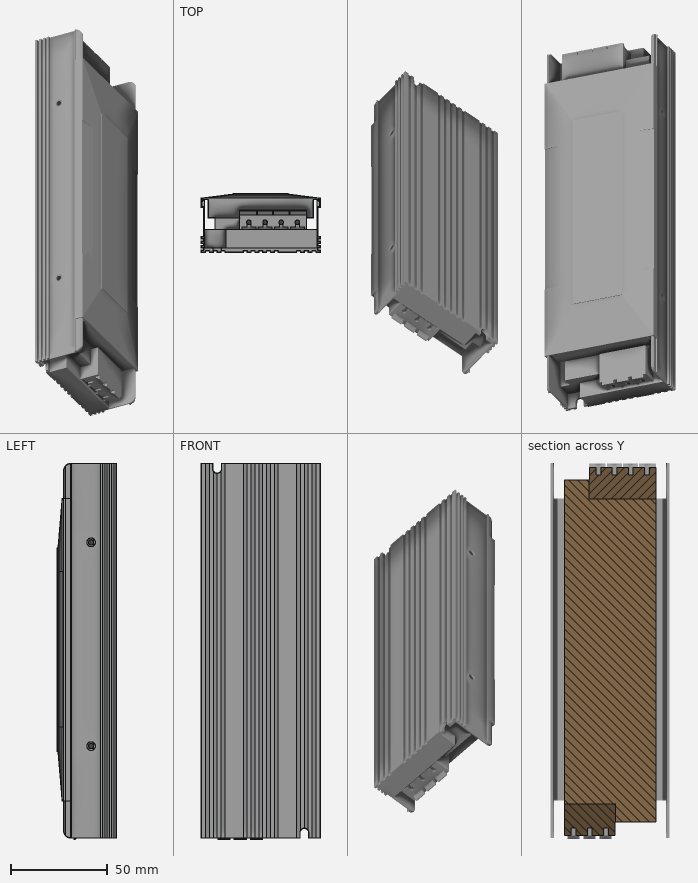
import cadquery as cq
length = 193.5
wall_half_width = 29.5
fin_half_width = 30.76
wall = 0.5
floor_top = 2.1
inner_half_width = wall_half_width - wall

fin_height = 1.2
side_fin_count = 4
side_fin_pitch = 2 * fin_height

groove_width = 2.0
groove_depth = 0.8
middle_group_reach = 8.0
groove_pitch = middle_group_reach / 2
outer_group_x = 23.5
groove_centres = [i * groove_pitch for i in range(-2, 3)] + [
    side * outer_group_x + i * groove_pitch for side in (-1, 1) for i in (-1, 0, 1)
]

lip_bottom = 23.1
lip_top = 23.7
rim_top = 27.2
rim_half_width = 30.3
rim_bevel = 1.0
rim_corner_radius = 3.9

slot_x = 22.5
slot_width = 4.5
slot_depth = 5.0

side_hole_y = 13.0
side_hole_zs = (47.5, 152.8)
side_hole_diameter = 2.7
side_sink_diameter = 4.5
side_sink_depth = 0.4

cover_start = 19.2
cover_end = 175.3
cover_eave = 28.0
cover_top = 30.5
panel_height = 0.4
roof_top = cover_top - panel_height
roof_half_width = 14.0
roof_slope_length = 25.5
relief_start = 57.5
relief_end = 137.6
relief_top = 29.1
relief_depth = 0.4
hood_half_width = 27.2
hood_bottom = 17.9

base_top = 11.8
corner_notch_x = 17.9
end_inset = 8.3
core_half_width = 23.7

pole_pitch = 8.3
terminal_margin = 1.2
terminal_length = 16.3
terminal_top = 22.0
lever_foot = 19.5
lever_land = 0.5
lever_height = 1.7
wire_hole_y = 15.5
wire_hole_diameter = 2.3
wire_hole_depth = 3.9
key_width = 2.0
foot_width = 7.2
foot_height = 1.4
foot_depth = 1.0


def box(x_range, y_range, z_range):
    """Box between pairs of X, Y and Z limits."""
    size = [high - low for low, high in (x_range, y_range, z_range)]
    corner = (x_range[0], y_range[0], z_range[0])
    return cq.Workplane("XY").box(*size, centered=False).translate(corner)


def centred_box(half_width, y_range, z_range):
    """Box symmetric about X = 0."""
    return box((-half_width, half_width), y_range, z_range)


def make_rim(side):
    """Bevelled rim along the top of one wall, rounded at both ends."""
    inner = side * inner_half_width
    outer = side * rim_half_width
    section = [
        (inner, lip_bottom),
        (outer, lip_bottom),
        (outer, rim_top - rim_bevel),
        (outer - side * rim_bevel, rim_top),
        (inner, rim_top),
    ]
    rim = cq.Workplane("XY").polyline(section).close().extrude(length)
    rounded = (
        cq.Workplane("YZ")
        .rect(2 * rim_top, length)
        .extrude(fin_half_width, both=True)
        .edges("|X and >Y")
        .fillet(rim_corner_radius)
        .translate((0, 0, length / 2))
    )
    return rim.intersect(rounded)


def make_mounting_slot(x, end_z, inward):
    """Cutter for a round-ended slot open at one end of the housing floor."""
    radius = slot_width / 2
    centre_z = end_z + inward * (slot_depth - radius)
    z_range = sorted((end_z, centre_z))
    straight = box((x - radius, x + radius), (0, floor_top), z_range)
    round_end = (
        cq.Workplane("XZ").center(x, centre_z).circle(radius).extrude(-floor_top)
    )
    return straight.union(round_end)


def make_side_hole(side, z):
    """Cutter for a countersunk hole through one side wall."""
    plane = cq.Plane(
        origin=(side * wall_half_width, side_hole_y, z), xDir=(0, 1, 0), normal=(-side, 0, 0)
    )
    hole = cq.Workplane(plane).circle(side_hole_diameter / 2).extrude(wall)
    sink = (
        cq.Workplane(plane)
        .circle(side_sink_diameter / 2)
        .workplane(offset=side_sink_depth)
        .circle(side_hole_diameter / 2)
        .loft()
    )
    return hole.union(sink)


def make_housing():
    full_length = (0, length)
    channel = centred_box(wall_half_width, (0, lip_bottom), full_length)
    for i in range(side_fin_count):
        fin_bottom = i * side_fin_pitch
        fin_range = (fin_bottom, fin_bottom + fin_height)
        channel = channel.union(centred_box(fin_half_width, fin_range, full_length))
    channel = channel.union(centred_box(fin_half_width, (lip_bottom, lip_top), full_length))
    channel = channel.cut(centred_box(inner_half_width, (floor_top, lip_top), full_length))
    for x in groove_centres:
        groove_x = (x - groove_width / 2, x + groove_width / 2)
        channel = channel.cut(box(groove_x, (0, groove_depth), full_length))
    for side in (-1, 1):
        channel = channel.union(make_rim(side))
        for z in side_hole_zs:
            channel = channel.cut(make_side_hole(side, z))
    channel = channel.cut(make_mounting_slot(-slot_x, length, -1))
    return channel.cut(make_mounting_slot(slot_x, 0, 1))


def make_eave_relief(side):
    """Cutter that steepens the middle stretch of one side slope."""
    slope_run = fin_half_width - roof_half_width
    top_fraction = (relief_top - cover_eave) / (roof_top - cover_eave)
    top_x = fin_half_width - top_fraction * slope_run
    section = [
        (side * top_x, relief_top),
        (side * fin_half_width, cover_eave - relief_depth),
        (side * fin_half_width, relief_top),
    ]
    wedge = cq.Workplane("XY").polyline(section).close().extrude(relief_end - relief_start)
    return wedge.translate((0, 0, relief_start))


def make_cover():
    z_range = (cover_start, cover_end)
    cover_length = cover_end - cover_start
    eave_plane = cq.Plane(
        origin=(0, cover_eave, (cover_start + cover_end) / 2), xDir=(1, 0, 0), normal=(0, 1, 0)
    )
    roof = (
        cq.Workplane(eave_plane)
        .rect(2 * fin_half_width, cover_length)
        .workplane(offset=roof_top - cover_eave)
        .rect(2 * roof_half_width, cover_length - 2 * roof_slope_length)
        .loft(ruled=True)
    )
    panel_z = (cover_start + roof_slope_length, cover_end - roof_slope_length)
    panel = centred_box(roof_half_width, (roof_top, cover_top), panel_z)
    skirt = centred_box(fin_half_width, (lip_top, cover_eave), z_range)
    skirt = skirt.cut(centred_box(rim_half_width, (lip_top, rim_top), z_range))
    hood = centred_box(hood_half_width, (hood_bottom, cover_eave), z_range)
    cover = roof.union(panel).union(skirt).union(hood)
    for side in (-1, 1):
        cover = cover.cut(make_eave_relief(side))
    return cover


def make_base():
    """Block on the housing floor, notched over the mounting slots."""
    y_range = (floor_top, base_top)
    base = centred_box(inner_half_width, y_range, (0, length))
    far_notch = box(
        (-inner_half_width, -corner_notch_x), y_range, (length - end_inset, length)
    )
    near_notch = box((corner_notch_x, inner_half_width), y_range, (0, end_inset))
    return base.cut(far_notch).cut(near_notch)


def terminal_width(poles):
    return poles * pole_pitch + terminal_margin


def make_terminal(poles, lever_gap, lever_span):
    """Terminal strip facing +Z, centred on X = 0, with the wire face at Z = 0."""
    half_width = terminal_width(poles) / 2
    body = centred_box(half_width, (base_top, terminal_top), (-terminal_length, 0))

    lever_section = [
        (lever_foot, 0),
        (terminal_top - lever_land, lever_height),
        (terminal_top, lever_height),
        (terminal_top, 0),
    ]
    levers = (
        cq.Workplane("YZ").polyline(lever_section).close().extrude(lever_span / 2, both=True)
    )
    for i in range(1, poles):
        x = (i - poles / 2) * pole_pitch
        gap_x = (x - lever_gap / 2, x + lever_gap / 2)
        levers = levers.cut(box(gap_x, (lever_foot, terminal_top), (0, lever_height)))
    body = body.union(levers)

    for i in range(poles):
        x = (i - (poles - 1) / 2) * pole_pitch
        hole = (
            cq.Workplane("XY")
            .center(x, wire_hole_y)
            .circle(wire_hole_diameter / 2)
            .extrude(-wire_hole_depth)
        )
        stem_x = (x - key_width / 2, x + key_width / 2)
        stem = box(stem_x, (base_top, wire_hole_y), (-foot_depth, 0))
        foot_x = (x - foot_width / 2, x + foot_width / 2)
        foot = box(foot_x, (base_top, base_top + foot_height), (-foot_depth, 0))
        body = body.cut(hole).cut(stem).cut(foot)
    return body


def make_output_terminal():
    """Four-pole terminal at the +Z end, set against the +X side of the core."""
    poles = 4
    lever_gap = 0.5
    x = core_half_width - terminal_width(poles) / 2
    face_z = cover_end + terminal_length
    return make_terminal(poles, lever_gap, terminal_width(poles)).translate((x, 0, face_z))


def make_input_terminal():
    """Three-pole terminal at the -Z end, whose lever tips stand out of the housing."""
    poles = 3
    lever_gap = 2.1
    lever_span = poles * pole_pitch - lever_gap
    tip_overhang = 0.5
    x = -core_half_width + terminal_width(poles) / 2
    face_z = lever_height - tip_overhang
    turned = make_terminal(poles, lever_gap, lever_span).mirror("XY")
    return turned.translate((x, 0, face_z))


def make_core(terminals):
    """Block between base and cover, recessed at both ends for the terminals."""
    core = centred_box(
        core_half_width, (base_top, hood_bottom), (end_inset, length - end_inset)
    )
    for terminal in terminals:
        limits = terminal.val().BoundingBox()
        recess = box(
            (limits.xmin, limits.xmax), (limits.ymin, limits.ymax), (limits.zmin, limits.zmax)
        )
        core = core.cut(recess)
    return core


housing = make_housing()
cover = make_cover()
base = make_base()
output_terminal = make_output_terminal()
input_terminal = make_input_terminal()
core = make_core([output_terminal, input_terminal])

result = cq.Compound.makeCompound(
    [
        housing.val(),
        cover.val(),
        base.val(),
        core.val(),
        output_terminal.val(),
        input_terminal.val(),
    ]
)